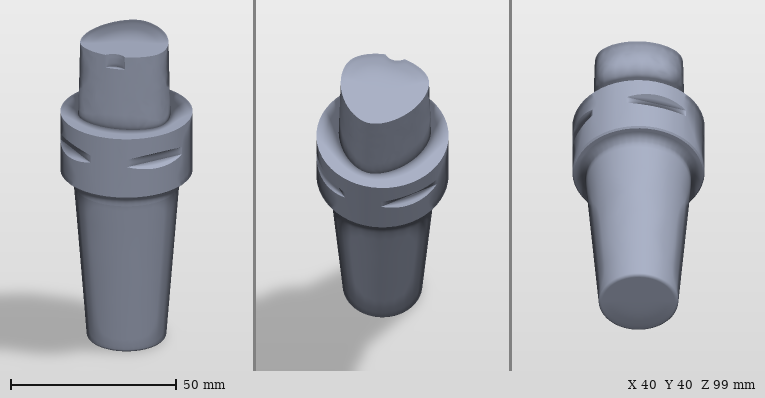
import cadquery as cq
import math

total_length = 99.0
shank_length = 24.0
flange_length = 20.0
flange_radius = 20.0
flange_chamfer = 0.5

neck_radius = 15.9
neck_fillet = 2.0
neck_straight = 2.4
nose_end_radius = 12.1
nose_end_rounding = 1.0

shank_base_radius = 14.0
shank_top_radius = 13.4
lobe_eccentricity = 0.9
outline_point_count = 36

scallop_radius = 4.0
scallop_center_y = -14.85
scallop_depth = 4.2

slot_count = 4
slot_first_angle = 45.0
slot_floor_distance = 17.6
slot_floor_height = 2.4
slot_flank_angle = 30.0
slot_below_face = 8.1

flange_top = total_length - shank_length
flange_bottom = flange_top - flange_length


def lobed_point(mean_radius, angle):
    """Point on the constant-width three-lobed curve, with one lobe toward +Y."""
    e = lobe_eccentricity
    along = mean_radius * math.cos(angle) - 2 * e * math.cos(2 * angle) + e * math.cos(4 * angle)
    across = mean_radius * math.sin(angle) + 2 * e * math.sin(2 * angle) + e * math.sin(4 * angle)
    return (across, -along)


def lobed_outline(plane, mean_radius):
    step = 2 * math.pi / outline_point_count
    points = [lobed_point(mean_radius, i * step) for i in range(outline_point_count)]
    return plane.spline(points, periodic=True).close()


def make_shank():
    base = lobed_outline(cq.Workplane("XY").workplane(offset=flange_top), shank_base_radius)
    top_plane = base.workplane(offset=shank_length)
    shank = lobed_outline(top_plane, shank_top_radius).loft(ruled=True, combine=True)
    scallop = (
        cq.Workplane("XY")
        .workplane(offset=total_length - scallop_depth)
        .center(0, scallop_center_y)
        .circle(scallop_radius)
        .extrude(scallop_depth)
    )
    return shank.cut(scallop)


def make_flange_and_nose():
    """Body of revolution: flange, filleted neck and tapered nose."""
    fillet_bottom = flange_bottom - neck_fillet
    taper_start = fillet_bottom - neck_straight
    fillet_offset = neck_fillet * (1 - math.sqrt(0.5))
    rounding_offset = nose_end_rounding * (1 - math.sqrt(0.5))
    return (
        cq.Workplane("XZ")
        .moveTo(0, 0)
        .lineTo(nose_end_radius - nose_end_rounding, 0)
        .threePointArc(
            (nose_end_radius - rounding_offset, rounding_offset),
            (nose_end_radius, nose_end_rounding),
        )
        .lineTo(neck_radius, taper_start)
        .lineTo(neck_radius, fillet_bottom)
        .threePointArc(
            (neck_radius + fillet_offset, flange_bottom - fillet_offset),
            (neck_radius + neck_fillet, flange_bottom),
        )
        .lineTo(flange_radius - flange_chamfer, flange_bottom)
        .lineTo(flange_radius, flange_bottom + flange_chamfer)
        .lineTo(flange_radius, flange_top)
        .lineTo(0, flange_top)
        .close()
        .revolve(360, (0, 0, 0), (0, 1, 0))
    )


def make_slot_cutter():
    """Trapezoid bar, opening outward along +X and running across the flange."""
    center_z = flange_top - slot_below_face
    half_floor = slot_floor_height / 2
    half_mouth = half_floor + (flange_radius - slot_floor_distance) * math.tan(math.radians(slot_flank_angle))
    return (
        cq.Workplane("XZ")
        .polyline([
            (slot_floor_distance, center_z - half_floor),
            (flange_radius, center_z - half_mouth),
            (flange_radius, center_z + half_mouth),
            (slot_floor_distance, center_z + half_floor),
        ])
        .close()
        .extrude(flange_radius, both=True)
    )


result = make_flange_and_nose().union(make_shank())

slot_cutter = make_slot_cutter()
for index in range(slot_count):
    slot_angle = slot_first_angle + index * 360 / slot_count
    result = result.cut(slot_cutter.rotate((0, 0, 0), (0, 0, 1), slot_angle))